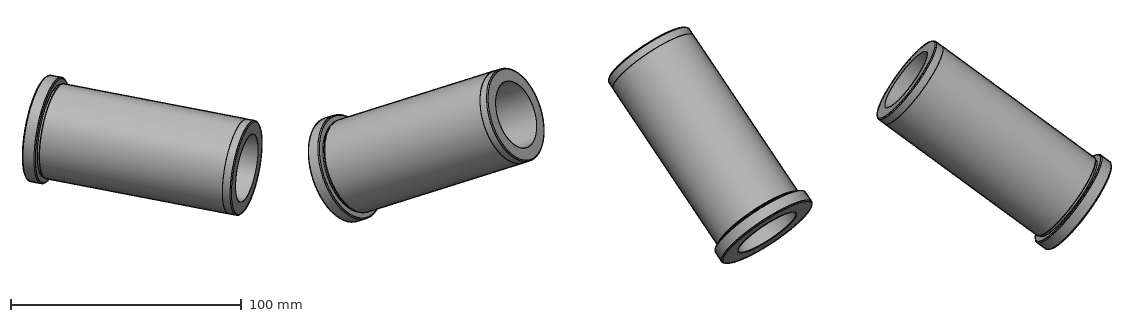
import cadquery as cq

length = 95.0
head_diameter = 47.0
head_thickness = 6.0
body_diameter = 42.0
bore_diameter = 30.0
edge_chamfer = 0.5
bore_chamfer = 0.2

relief_width = 1.0
relief_depth = 0.5

pilot_length = 4.0
pilot_diameter = 41.9

head_start = -length / 2
head_end = head_start + head_thickness
body_start = head_end + relief_width
body_end = length / 2
pilot_start = body_end - pilot_length


def cylinder(diameter, start, end):
    """Solid cylinder along X between two stations."""
    return cq.Workplane("YZ", origin=(start, 0, 0)).circle(diameter / 2).extrude(end - start)


head = cylinder(head_diameter, head_start, head_end).edges().chamfer(edge_chamfer)

neck = cylinder(body_diameter - 2 * relief_depth, head_end, body_start)
body = cylinder(body_diameter, body_start, pilot_start)
pilot = cylinder(pilot_diameter, pilot_start, body_end).faces(">X").edges().chamfer(edge_chamfer)

bore = cylinder(bore_diameter, head_start, body_end)
sleeve = head.union(neck).union(body).union(pilot).cut(bore)
smallest_circle = cq.selectors.RadiusNthSelector(0)
result = sleeve.faces("<X").edges(smallest_circle).chamfer(bore_chamfer)